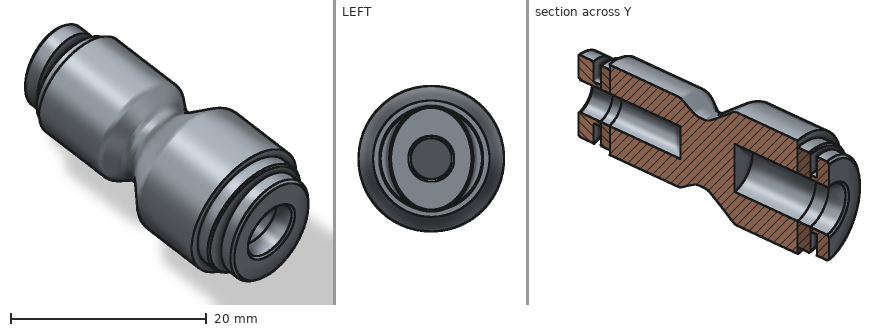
import cadquery as cq


LENGTH = 31.95

SMALL_FACE_X = 3.95
LARGE_FACE_X = 27.92
SMALL_BARREL_DIA = 11.9
LARGE_BARREL_DIA = 14.9
WAIST_DIA = 9.0
SMALL_BARREL_END_X = 12.95
WAIST_START_X = 15.0
WAIST_END_X = 16.45
LARGE_BARREL_END_X = 19.9
PROFILE_FILLET = 1.0

SMALL_RING_DIA = 10.6
LARGE_RING_DIA = 13.15
SMALL_RING_WIDTH = 1.15
LARGE_RING_WIDTH = 1.63
SMALL_RING_CHAMFER = 0.13
LARGE_RING_CHAMFER = 0.2

SMALL_NECK_DIA = 5.5
LARGE_NECK_DIA = 7.5
SMALL_BORE_DIA = 4.2
LARGE_BORE_DIA = 6.2
SMALL_HEAD_Y = 8.6
SMALL_HEAD_Z = 10.8
SMALL_HEAD_THICKNESS = 1.98
LARGE_HEAD_Y = 11.1
LARGE_HEAD_Z = 13.0
LARGE_HEAD_THICKNESS = 1.63
SMALL_HEAD_CHAMFER = 0.2
LARGE_HEAD_CHAMFER = 0.3
BORE_CHAMFER = 0.25
NECK_ROOT_FILLET = 0.1

SMALL_SOCKET_FLOOR_X = SMALL_BARREL_END_X
LARGE_SOCKET_FLOOR_X = LARGE_BARREL_END_X

SMALL_RING_FACE_X = SMALL_FACE_X - SMALL_RING_WIDTH
LARGE_RING_FACE_X = LARGE_FACE_X + LARGE_RING_WIDTH


def cylinder(diameter, start_x, end_x):
    """Solid cylinder on the X axis between two stations."""
    return cq.Workplane("YZ", origin=(start_x, 0, 0)).circle(diameter / 2).extrude(end_x - start_x)


def make_housing():
    """Two barrels joined by cones to a narrow waist, with a blind socket in each end."""
    small_radius = SMALL_BARREL_DIA / 2
    large_radius = LARGE_BARREL_DIA / 2
    waist_radius = WAIST_DIA / 2
    corners = [
        (SMALL_BARREL_END_X, small_radius),
        (WAIST_START_X, waist_radius),
        (WAIST_END_X, waist_radius),
        (LARGE_BARREL_END_X, large_radius),
    ]
    body = (
        cq.Workplane("XY")
        .moveTo(SMALL_FACE_X, 0)
        .lineTo(SMALL_FACE_X, small_radius)
        .polyline(corners, includeCurrent=True)
        .lineTo(LARGE_FACE_X, large_radius)
        .lineTo(LARGE_FACE_X, 0)
        .close()
        .revolve(360, (0, 0, 0), (1, 0, 0))
    )
    for corner_x, _ in corners:
        corner_edge = cq.selectors.NearestToPointSelector((corner_x, 0, 0))
        body = body.edges("%CIRCLE").edges(corner_edge).fillet(PROFILE_FILLET)
    body = body.cut(cylinder(SMALL_BORE_DIA, SMALL_FACE_X, SMALL_SOCKET_FLOOR_X))
    return body.cut(cylinder(LARGE_BORE_DIA, LARGE_SOCKET_FLOOR_X, LARGE_FACE_X))


def make_ring(outer_dia, hole_dia, chamfer, inner_x, outer_x):
    """Ring seated on the housing face at inner_x, with its outer rim chamfered at outer_x."""
    outward_face = "<X" if outer_x < inner_x else ">X"
    disc = cylinder(outer_dia, inner_x, outer_x).faces(outward_face).edges().chamfer(chamfer)
    return disc.cut(cylinder(hole_dia, inner_x, outer_x))


def make_collet(head_y, head_z, head_chamfer, neck_dia, bore_dia, outer_x, head_back_x, neck_end_x):
    """Chamfered elliptical head on a neck that runs inward to the ring, bored through."""
    outward_face = "<X" if outer_x < head_back_x else ">X"
    head = (
        cq.Workplane("YZ", origin=(outer_x, 0, 0))
        .ellipse(head_y / 2, head_z / 2)
        .extrude(head_back_x - outer_x)
        .faces(outward_face)
        .edges()
        .chamfer(head_chamfer)
    )
    neck = cylinder(neck_dia, head_back_x, neck_end_x)
    blank = head.union(neck)
    neck_root = blank.edges("%CIRCLE").edges(outward_face)
    blank = neck_root.fillet(NECK_ROOT_FILLET)
    collet = blank.cut(cylinder(bore_dia, outer_x, neck_end_x))
    bore_rim = collet.faces(outward_face).edges(cq.selectors.RadiusNthSelector(0))
    return bore_rim.chamfer(BORE_CHAMFER)


housing = make_housing()

small_ring = make_ring(SMALL_RING_DIA, SMALL_BORE_DIA, SMALL_RING_CHAMFER, SMALL_FACE_X, SMALL_RING_FACE_X)
large_ring = make_ring(LARGE_RING_DIA, LARGE_BORE_DIA, LARGE_RING_CHAMFER, LARGE_FACE_X, LARGE_RING_FACE_X)

small_collet = make_collet(
    SMALL_HEAD_Y, SMALL_HEAD_Z, SMALL_HEAD_CHAMFER, SMALL_NECK_DIA, SMALL_BORE_DIA,
    0, SMALL_HEAD_THICKNESS, SMALL_RING_FACE_X,
)
large_collet = make_collet(
    LARGE_HEAD_Y, LARGE_HEAD_Z, LARGE_HEAD_CHAMFER, LARGE_NECK_DIA, LARGE_BORE_DIA,
    LENGTH, LENGTH - LARGE_HEAD_THICKNESS, LARGE_RING_FACE_X,
)

bodies = [housing, small_ring, large_ring, small_collet, large_collet]
result = cq.Compound.makeCompound([body.val() for body in bodies])